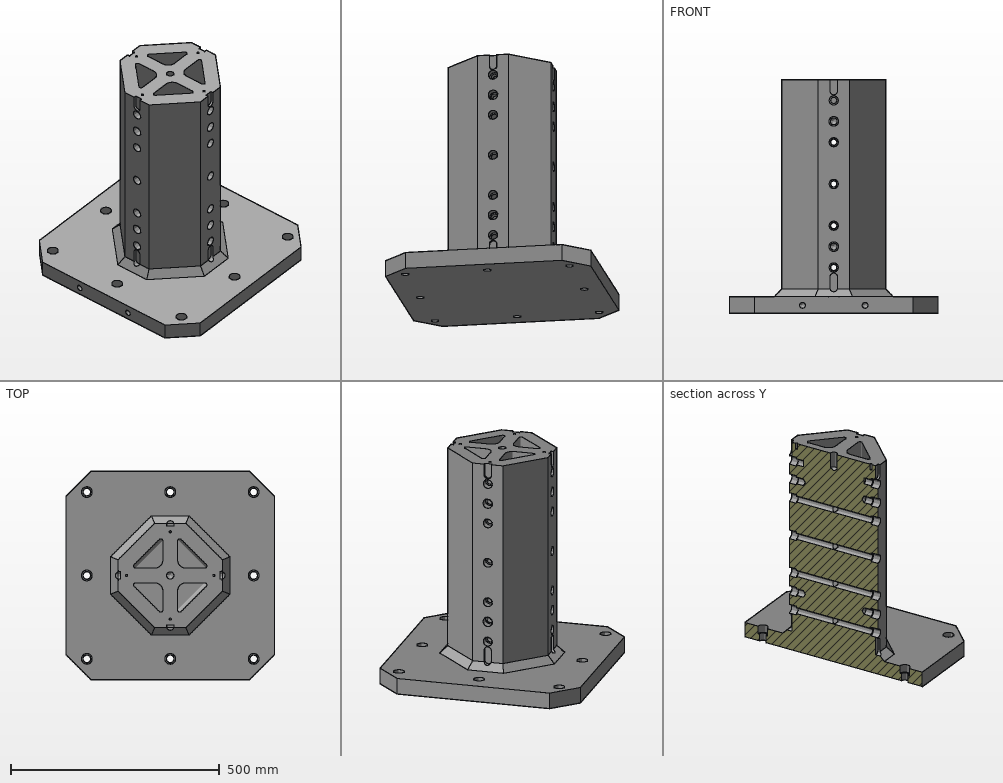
import cadquery as cq
import math

BASE_SIDE = 500.0
BASE_THICKNESS = 40.0
BASE_CORNER_CUT = 60.0
MOUNT_PITCH = 200.0
MOUNT_HOLE_DIAMETER = 18.0
MOUNT_BORE_DIAMETER = 26.0
MOUNT_BORE_DEPTH = 20.0
EDGE_HOLE_DIAMETER = 14.0
EDGE_HOLE_SPACING = 150.0
EDGE_HOLE_HEIGHT = 19.0
EDGE_HOLE_DEPTH = 30.0

TOTAL_HEIGHT = 560.0
COLUMN_WIDTH = 250.5
COLUMN_FLAT = 75.0
SKIRT_SIZE = 18.0
SKIRT_TAPER = 45.0
OCTAGON_TURN = 45.0

RIB_THICKNESS = 35.0
POCKET_REACH = 112.5
POCKET_INNER_RADIUS = 19.5
POCKET_TIP_RADIUS = 5.0
POCKET_FOOT_RADIUS = 14.0

CENTRE_HOLE_DIAMETER = 17.5
CENTRE_HOLE_DEPTH = 40.0
PIN_HOLE_DIAMETER = 5.0
PIN_HOLE_OFFSET = 105.0
PIN_HOLE_DEPTH = 15.0

LOWEST_HOLE = 110.0
HIGHEST_HOLE = 510.0
HIGHEST_STEP = 8
THROUGH_STEPS = (0, 2, 4, 6)
DRILLED_STEPS = (1, 7)
PLAIN_HOLE_DIAMETER = 14.5
PLAIN_BORE_DIAMETER = 22.0
DRILLED_HOLE_DIAMETER = 16.0
DRILLED_BORE_DIAMETER = 23.0
BLIND_HOLE_DEPTH = 40.0
SIDE_BORE_DEPTH = 20.0

SLOT_WIDTH = 18.0
SLOT_DEPTH = 6.0
LOWER_SLOT_BOTTOM = 51.5
LOWER_SLOT_TOP = 96.5
UPPER_SLOT_BOTTOM = 523.5

DRILL_POINT_ANGLE = 118.0

column_half = COLUMN_WIDTH / 2
hole_step = (HIGHEST_HOLE - LOWEST_HOLE) / HIGHEST_STEP


def octagon(width, flat, height=0):
    """Closed outline, at the given height, of a square with corners cut to leave `flat`."""
    w = width / 2
    f = flat / 2
    points = [(f, -w), (w, -f), (w, f), (f, w), (-f, w), (-w, f), (-w, -f), (-f, -w)]
    return cq.Workplane("XY", origin=(0, 0, height)).polyline(points).close()


def plain_hole(diameter, depth):
    """Flat-bottomed hole along +Y from the origin."""
    return cq.Workplane("XZ").circle(diameter / 2).extrude(-depth)


def drilled_hole(diameter, depth):
    """Hole along +Y from the origin, ending in a conical drill point."""
    radius = diameter / 2
    point = radius / math.tan(math.radians(DRILL_POINT_ANGLE / 2))
    profile = [(0, 0), (radius, 0), (radius, depth), (0, depth + point)]
    return cq.Workplane("XY").polyline(profile).close().revolve(360, (0, 0), (0, 1))


def on_four_sides(tool):
    """The tool repeated at every quarter turn about Z."""
    repeated = tool
    for angle in (90, 180, 270):
        repeated = repeated.union(tool.rotate((0, 0, 0), (0, 0, 1), angle))
    return repeated


def base_plate():
    """Square plate with cut corners, eight counterbored holes and two holes in its -Y edge."""
    plate = octagon(BASE_SIDE, BASE_SIDE - 2 * BASE_CORNER_CUT).extrude(BASE_THICKNESS)
    steps = (-1, 0, 1)
    spots = [(i * MOUNT_PITCH, j * MOUNT_PITCH) for i in steps for j in steps if (i, j) != (0, 0)]
    plate = (
        plate.faces(">Z").workplane().pushPoints(spots)
        .cboreHole(MOUNT_HOLE_DIAMETER, MOUNT_BORE_DIAMETER, MOUNT_BORE_DEPTH)
    )
    for side in (-1, 1):
        spot = (side * EDGE_HOLE_SPACING / 2, -BASE_SIDE / 2, EDGE_HOLE_HEIGHT)
        plate = plate.cut(drilled_hole(EDGE_HOLE_DIAMETER, EDGE_HOLE_DEPTH).translate(spot))
    return plate


def column():
    """Solid octagonal column standing on the plate, with a 45 degree skirt round its foot."""
    shaft = octagon(COLUMN_WIDTH, COLUMN_FLAT, BASE_THICKNESS).extrude(TOTAL_HEIGHT - BASE_THICKNESS)
    skirt_width = COLUMN_WIDTH + 2 * SKIRT_SIZE
    skirt_flat = COLUMN_FLAT + 2 * SKIRT_SIZE * math.tan(math.radians(OCTAGON_TURN / 2))
    skirt = octagon(skirt_width, skirt_flat, BASE_THICKNESS).extrude(SKIRT_SIZE, taper=SKIRT_TAPER)
    return shaft.union(skirt)


def pocket():
    """Pocket in the +X +Y quarter, down to the base plate and rounded at the foot of its long wall."""
    near = RIB_THICKNESS / 2
    far = POCKET_REACH - near
    triangle = cq.Workplane("XY", origin=(0, 0, BASE_THICKNESS)).polyline(
        [(near, near), (far, near), (near, far)]
    ).close()
    prism = triangle.extrude(TOTAL_HEIGHT - BASE_THICKNESS)

    foot_middle = (POCKET_REACH / 2, POCKET_REACH / 2, BASE_THICKNESS)
    foot_edge = cq.selectors.NearestToPointSelector(foot_middle)
    round_footed = prism.edges(foot_edge).fillet(POCKET_FOOT_RADIUS)

    inner_edge = cq.selectors.DirectionMinMaxSelector(cq.Vector(1, 1, 0), False)
    round_cornered = prism.edges("|Z").edges(inner_edge).fillet(POCKET_INNER_RADIUS)
    for tip in (">X", ">Y"):
        round_cornered = round_cornered.edges("|Z").edges(tip).fillet(POCKET_TIP_RADIUS)
    return round_cornered.intersect(round_footed)


def side_holes():
    """Counterbored holes of the -Y flat: through, drilled to a point, and flat-bottomed at the top."""
    plain_bore = plain_hole(PLAIN_BORE_DIAMETER, SIDE_BORE_DEPTH)
    drilled_bore = plain_hole(DRILLED_BORE_DIAMETER, SIDE_BORE_DEPTH)
    through = plain_hole(PLAIN_HOLE_DIAMETER, column_half).union(plain_bore)
    drilled = drilled_hole(DRILLED_HOLE_DIAMETER, BLIND_HOLE_DEPTH).union(drilled_bore)
    flat_bottomed = plain_hole(PLAIN_HOLE_DIAMETER, BLIND_HOLE_DEPTH).union(plain_bore)

    holes = [(step, through) for step in THROUGH_STEPS]
    holes += [(step, drilled) for step in DRILLED_STEPS]
    holes.append((HIGHEST_STEP, flat_bottomed))
    row = cq.Workplane("XY")
    for step, hole in holes:
        row.add(hole.translate((0, -column_half, LOWEST_HOLE + step * hole_step)))
    return row.combine()


def key_slot(bottom, top):
    """Round-ended upright slot in the -Y flat, cut outward through the skirt as well."""
    origin = (0, -column_half + SLOT_DEPTH, (bottom + top) / 2)
    outline = cq.Workplane("XZ", origin=origin).slot2D(top - bottom, SLOT_WIDTH, 90)
    return outline.extrude(SLOT_DEPTH + SKIRT_SIZE)


def top_holes():
    """Drilled centre hole and four pin holes in the column top."""
    centre = drilled_hole(CENTRE_HOLE_DIAMETER, CENTRE_HOLE_DEPTH).rotate((0, 0, 0), (1, 0, 0), -90)
    pin = plain_hole(PIN_HOLE_DIAMETER, PIN_HOLE_DEPTH).rotate((0, 0, 0), (1, 0, 0), -90)
    pins = on_four_sides(pin.translate((PIN_HOLE_OFFSET, 0, 0)))
    return centre.union(pins).translate((0, 0, TOTAL_HEIGHT))


lower_slot = key_slot(LOWER_SLOT_BOTTOM, LOWER_SLOT_TOP)
upper_slot = key_slot(UPPER_SLOT_BOTTOM, TOTAL_HEIGHT + SLOT_WIDTH)

result = base_plate().union(column())
for side_feature in (pocket(), side_holes(), lower_slot, upper_slot):
    result = result.cut(on_four_sides(side_feature))
result = result.cut(top_holes())